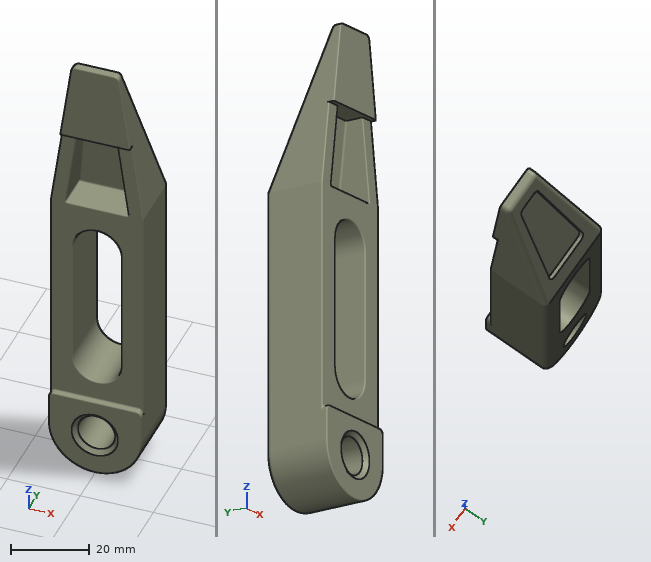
import cadquery as cq
import math

length = 127.0
width = 25.4
thickness = 19.0
knee_z = 82.5
side_taper = math.radians(8.0)
back_slope = math.radians(20.0)
back_round = 1.5
edge_round = 0.4
inner_round = 0.5

pad_height = 1.5
foot_pad_top = 22.2
nose_pad_bottom = 104.9

hole_z = 12.0
hole_diameter = 10.2
hole_chamfer = 1.3
slot_width = 13.3
slot_bottom = 27.7
slot_top = 75.6

pocket_bottom = 82.5
pocket_half_width = 8.6
pocket_floor_y = 11.4
pocket_floor_slope = math.radians(12.0)

panel_depth = 1.3
panel_low_y = 16.9
panel_high_y = 4.6
panel_low_half_width = 7.5
panel_high_half_width = 3.7
panel_corner_round = 1.5

half_width = width / 2
nose_length = length - knee_z
tip_half_width = half_width - nose_length * math.tan(side_taper)
tip_y = thickness - nose_length * math.tan(back_slope)


def front_plane(y):
    """Sketch plane at the given Y: local x is X, local y is Z, normal is -Y."""
    return cq.Workplane("XZ", origin=(0, y, 0))


def block(bottom, top, front_y):
    """Block wider than the arm between two heights, from front_y to the back."""
    height = top - bottom
    sketch = front_plane(thickness).center(0, bottom + height / 2).rect(2 * width, height)
    return sketch.extrude(thickness - front_y)


def across_arm(points):
    """Prism wider than the arm with the given (Y, Z) outline."""
    return cq.Workplane("YZ", origin=(-width, 0, 0)).polyline(points).close().extrude(2 * width)


def round_foot(back_y):
    """Sketch at back_y with the semicircular lower end drawn, ready to carry on upward."""
    return (
        front_plane(back_y)
        .moveTo(-half_width, half_width)
        .threePointArc((0, 0), (half_width, half_width))
    )


def arm_blank():
    """Whole arm with a plain front face at Y = 0, rounded around its back and tip."""
    solid = (
        round_foot(thickness)
        .lineTo(half_width, knee_z)
        .lineTo(tip_half_width, length)
        .lineTo(-tip_half_width, length)
        .lineTo(-half_width, knee_z)
        .close()
        .extrude(thickness)
    )
    solid = solid.cut(across_arm([(thickness, knee_z), (tip_y, length), (thickness, length)]))
    back_outline = solid.faces(">>Y or >>Y[-2]").edges("not |X").vals()
    tip_edges = solid.faces(">Z").edges("|Y or >Y").vals()
    return solid.newObject(back_outline + tip_edges).fillet(back_round)


def foot_pad():
    """Flat round-ended pad around the pivot hole."""
    depth = pad_height + edge_round
    pad = (
        round_foot(depth)
        .lineTo(half_width, foot_pad_top)
        .lineTo(-half_width, foot_pad_top)
        .close()
        .extrude(depth)
    )
    pad = pad.faces(">Z").edges("|Y").fillet(back_round)
    return pad.faces("<Y").edges().fillet(edge_round)


def pivot_hole():
    """Through hole with a countersunk mouth in the foot pad."""
    radius = hole_diameter / 2
    hole = front_plane(thickness).center(0, hole_z).circle(radius).extrude(thickness)
    mouth = cq.Solid.makeCone(
        radius + hole_chamfer, radius, hole_chamfer, cq.Vector(0, 0, hole_z), cq.Vector(0, 1, 0)
    )
    return hole.union(cq.Workplane(mouth))


def adjusting_slot():
    """Round-ended slot along Z."""
    sketch = front_plane(thickness).center(0, (slot_top + slot_bottom) / 2)
    return sketch.slot2D(slot_top - slot_bottom, slot_width, 90).extrude(thickness)


def front_pocket():
    """Narrowing pocket with a floor that gets shallower toward the nose; it ends at the nose pad."""
    height = length - pocket_bottom
    top_half_width = pocket_half_width - height * math.tan(side_taper)
    top_floor_y = pocket_floor_y - height * math.tan(pocket_floor_slope)
    pocket = (
        front_plane(pocket_floor_y)
        .moveTo(-pocket_half_width, pocket_bottom)
        .lineTo(pocket_half_width, pocket_bottom)
        .lineTo(top_half_width, length)
        .lineTo(-top_half_width, length)
        .close()
        .extrude(pocket_floor_y)
    )
    pocket = pocket.cut(
        across_arm([(pocket_floor_y, pocket_bottom), (top_floor_y, length), (pocket_floor_y, length)])
    )
    floor_edges = pocket.faces(">>Y").edges("not >Z").vals()
    corner_edges = pocket.faces("<Z").edges("|Y").vals()
    return pocket.newObject(floor_edges + corner_edges).fillet(inner_round)


def back_panel():
    """Shallow trapezoid cut square to the sloped back."""
    low_edge = (thickness - panel_low_y) / math.sin(back_slope)
    high_edge = (thickness - panel_high_y) / math.sin(back_slope)
    into_arm = (0, -math.cos(back_slope), -math.sin(back_slope))
    sloped_back = cq.Plane(origin=(0, thickness, knee_z), xDir=(1, 0, 0), normal=into_arm)
    panel = (
        cq.Workplane(sloped_back)
        .moveTo(-panel_low_half_width, low_edge)
        .lineTo(panel_low_half_width, low_edge)
        .lineTo(panel_high_half_width, high_edge)
        .lineTo(-panel_high_half_width, high_edge)
        .close()
        .extrude(panel_depth)
    )
    return panel.edges("#X and (not |X)").fillet(panel_corner_round)


blank = arm_blank()

nose = blank.faces("<Y").edges().fillet(edge_round).intersect(block(nose_pad_bottom, length, 0))

shank = blank.intersect(block(0, nose_pad_bottom, pad_height))
shank = shank.cut(adjusting_slot()).cut(front_pocket())
shank = shank.faces("<Y").edges("not >Z").fillet(edge_round)

foot_step = (0, pad_height, foot_pad_top)
body = shank.union(foot_pad())
body = body.edges(cq.NearestToPointSelector(foot_step)).fillet(inner_round)

result = body.union(nose).cut(pivot_hole()).cut(back_panel())